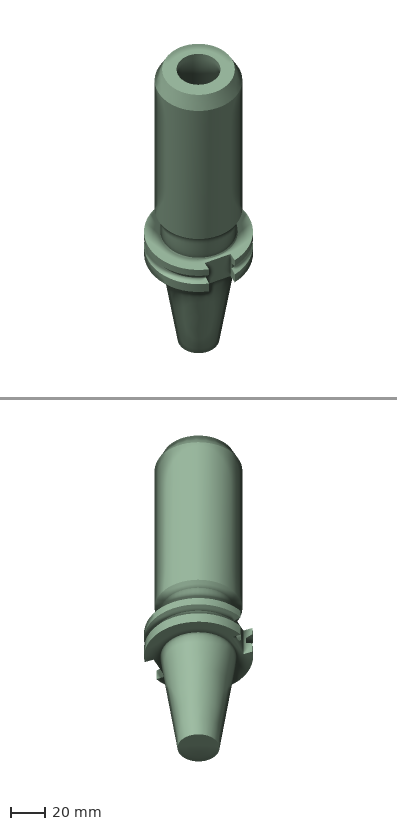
import cadquery as cq

total_length = 220.6
gauge_height = 68.5
collar_height = 1.0
flange_thickness = 18.0
neck_foot_height = 0.7
body_base = 106.8
body_base_chamfer_height = 3.3
nose_chamfer_height = 8.8

taper_small_diameter = 24.5
neck_diameter = 44.5
neck_foot_diameter = 46.0
flange_diameter = 63.5
groove_diameter = 55.5
body_diameter = 51.2
nose_diameter = 42.4
bore_diameter = 25.5

upper_rim_thickness = 4.9
groove_mouth_width = 6.8
groove_floor_width = 4.0

slot_width = 16.8
slot_floor_offset = 25.0
slot_hole_diameter = 10.0
slot_hole_depth = 8.2
slot_hole_drop = 8.2
bore_depth = 77.2

flange_bottom = gauge_height + collar_height
flange_top = flange_bottom + flange_thickness
groove_mouth_top = flange_top - upper_rim_thickness
groove_mouth_bottom = groove_mouth_top - groove_mouth_width
groove_flank_height = (groove_mouth_width - groove_floor_width) / 2


def make_turned_body():
    """Taper, flange, neck and long cylindrical nose, revolved about Z."""
    stations = [
        (taper_small_diameter, 0),
        (neck_diameter, gauge_height),
        (neck_diameter, flange_bottom),
        (flange_diameter, flange_bottom),
        (flange_diameter, groove_mouth_bottom),
        (groove_diameter, groove_mouth_bottom + groove_flank_height),
        (groove_diameter, groove_mouth_top - groove_flank_height),
        (flange_diameter, groove_mouth_top),
        (flange_diameter, flange_top),
        (neck_foot_diameter, flange_top),
        (neck_diameter, flange_top + neck_foot_height),
        (neck_diameter, body_base - body_base_chamfer_height),
        (body_diameter, body_base),
        (body_diameter, total_length - nose_chamfer_height),
        (nose_diameter, total_length),
    ]
    profile = [(0, 0)]
    profile += [(diameter / 2, height) for diameter, height in stations]
    profile.append((0, total_length))
    return cq.Workplane("XZ").polyline(profile).close().revolve(360, (0, 0), (0, 1))


def make_bore():
    """Blind tool bore entering from the top face."""
    bottom_plane = cq.Workplane("XY").workplane(offset=total_length - bore_depth)
    return bottom_plane.circle(bore_diameter / 2).extrude(bore_depth)


def make_drive_slot(side):
    """Flat-bottomed slot across the flange rim on the +X (1) or -X (-1) side."""
    slot_depth = flange_diameter / 2 - slot_floor_offset
    slot_center_x = side * (slot_floor_offset + slot_depth / 2)
    slot = cq.Workplane("XY").workplane(offset=flange_bottom)
    slot = slot.center(slot_center_x, 0).rect(slot_depth, slot_width)
    return slot.extrude(flange_thickness)


def make_slot_hole():
    """Blind radial hole in the floor of the -X drive slot."""
    hole_plane = cq.Workplane("YZ").workplane(offset=-slot_floor_offset)
    hole = hole_plane.center(0, flange_top - slot_hole_drop).circle(slot_hole_diameter / 2)
    return hole.extrude(slot_hole_depth)


result = make_turned_body().cut(make_bore())
for side in (-1, 1):
    result = result.cut(make_drive_slot(side))
result = result.cut(make_slot_hole())